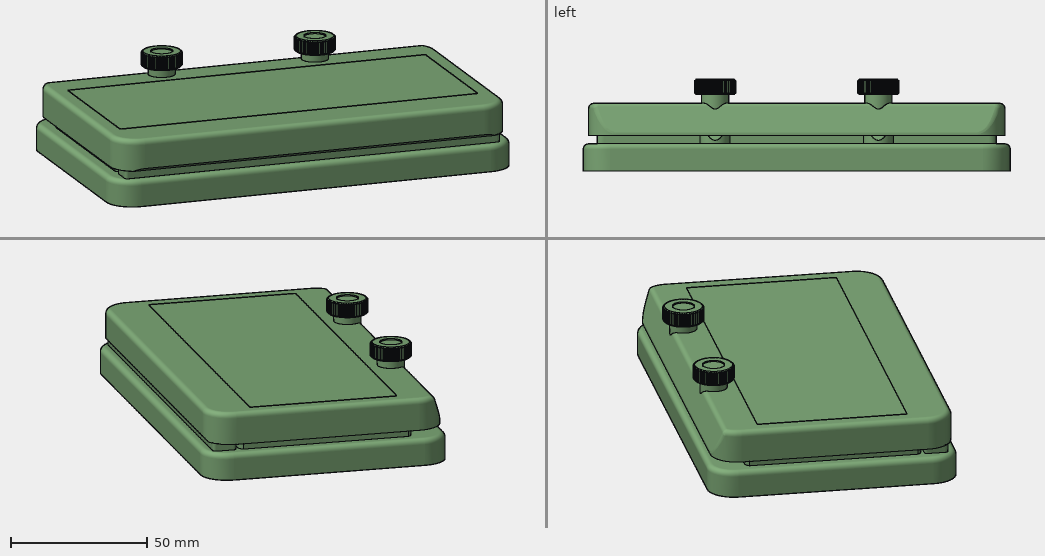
import cadquery as cq
import math

length = 157.0
base_width = 93.0
base_height = 10.0
corner_radius = 10.0
edge_radius = 2.0

lid_width = 90.0
lid_length = 153.0
lid_bottom = 13.0
lid_top = 25.0
slope_start_height = 14.0
slope_angle = 20.0
back_chamfer = 1.0

display_width = 56.0
display_length = 140.0
display_recess = 0.2
display_corner_radius = 0.6

spacer_width = 66.0
spacer_length = 146.6
spacer_corner_radius = 2.8
spacer_end_trim = 0.3
rail_width = 8.8
rail_center_x = 38.5
rail_corner_radius = 1.1

screw_x = -36.7
screw_spacing = 60.0
neck_diameter = 10.0
boss_diameter = 11.0
boss_slope_height = 11.3
knob_diameter = 15.2
knob_bottom = 28.1
knob_top = 33.8
knob_chamfer = 0.6
knurl_count = 72
knurl_depth = 0.3
knob_recess_diameter = 8.2
knob_recess_depth = 0.5

lid_left = -lid_width / 2
slope_run_per_height = math.tan(math.radians(slope_angle))


def rounded_block(size_x, size_y, bottom, top, radius):
    """Block centred on Z with rounded vertical corners."""
    block = cq.Workplane("XY").workplane(offset=bottom).rect(size_x, size_y).extrude(top - bottom)
    return block.edges("|Z").fillet(radius)


def disc(diameter, bottom, top):
    """Upright cylinder on the Z axis."""
    return cq.Workplane("XY").workplane(offset=bottom).circle(diameter / 2).extrude(top - bottom)


def slope_cutter(start_x, start_height):
    """Wedge outside a plane that leans inward from a start point on the -X side."""
    rise = knob_top - start_height
    top_x = start_x + rise * slope_run_per_height
    outer_x = start_x - length / 2
    corners = [
        (start_x, start_height),
        (top_x, knob_top),
        (outer_x, knob_top),
        (outer_x, start_height),
    ]
    return cq.Workplane("XZ").polyline(corners).close().extrude(length / 2, both=True)


def make_base():
    base = rounded_block(base_width, length, 0, base_height, corner_radius)
    return base.faces(">Z").edges().fillet(edge_radius)


def make_lid():
    lid = rounded_block(lid_width, lid_length, lid_bottom, lid_top, corner_radius)
    lid = lid.cut(slope_cutter(lid_left, slope_start_height))

    slope_radians = math.radians(slope_angle)
    slope_normal = cq.Vector(-math.cos(slope_radians), 0, math.sin(slope_radians))
    slope_face = lid.faces(cq.selectors.ParallelDirSelector(slope_normal))
    lid = lid.faces(">Z").edges().add(slope_face.edges()).fillet(edge_radius)

    lower_edge = [
        (lid_width / 2, lid_bottom),
        (lid_width / 2 - back_chamfer, lid_bottom),
        (lid_width / 2, lid_bottom + back_chamfer),
    ]
    bevel = cq.Workplane("XZ").polyline(lower_edge).close().extrude(lid_length / 2, both=True)
    display = rounded_block(
        display_width, display_length, lid_top - display_recess, lid_top, display_corner_radius
    )
    return lid.cut(bevel).cut(display)


def make_spacer():
    full_length = spacer_length + 2 * spacer_end_trim
    spacer = rounded_block(spacer_width, full_length, base_height, lid_bottom, spacer_corner_radius)
    trimmed = cq.Workplane("XY").box(spacer_width, spacer_length, 2 * lid_bottom)
    return spacer.intersect(trimmed)


def make_rail():
    rail = rounded_block(rail_width, spacer_length, base_height, lid_bottom, rail_corner_radius)
    return rail.translate((rail_center_x, 0, 0))


def make_knob():
    """Knurled screw head with chamfered rims and a recessed centre."""
    outer_radius = knob_diameter / 2
    outline = []
    for i in range(2 * knurl_count):
        radius = outer_radius - knurl_depth * (i % 2)
        angle = math.pi * i / knurl_count
        outline.append((radius * math.cos(angle), radius * math.sin(angle)))
    knurled = cq.Workplane("XY").workplane(offset=knob_bottom).polyline(outline).close()
    knurled = knurled.extrude(knob_top - knob_bottom)
    blank = disc(knob_diameter, knob_bottom, knob_top).faces("|Z").edges().chamfer(knob_chamfer)
    recess = disc(knob_recess_diameter, knob_top - knob_recess_depth, knob_top)
    return knurled.intersect(blank).cut(recess)


def make_screw():
    """Knob, neck and boss of one thumb screw."""
    boss = disc(boss_diameter, base_height, lid_bottom)
    boss = boss.cut(slope_cutter(-boss_diameter / 2, boss_slope_height))
    neck = disc(neck_diameter, lid_bottom, knob_bottom)
    return make_knob().union(neck).union(boss)


result = make_base().union(make_spacer()).union(make_rail()).union(make_lid())
screw = make_screw()
for side in (-1, 1):
    result = result.union(screw.translate((screw_x, side * screw_spacing / 2, 0)))